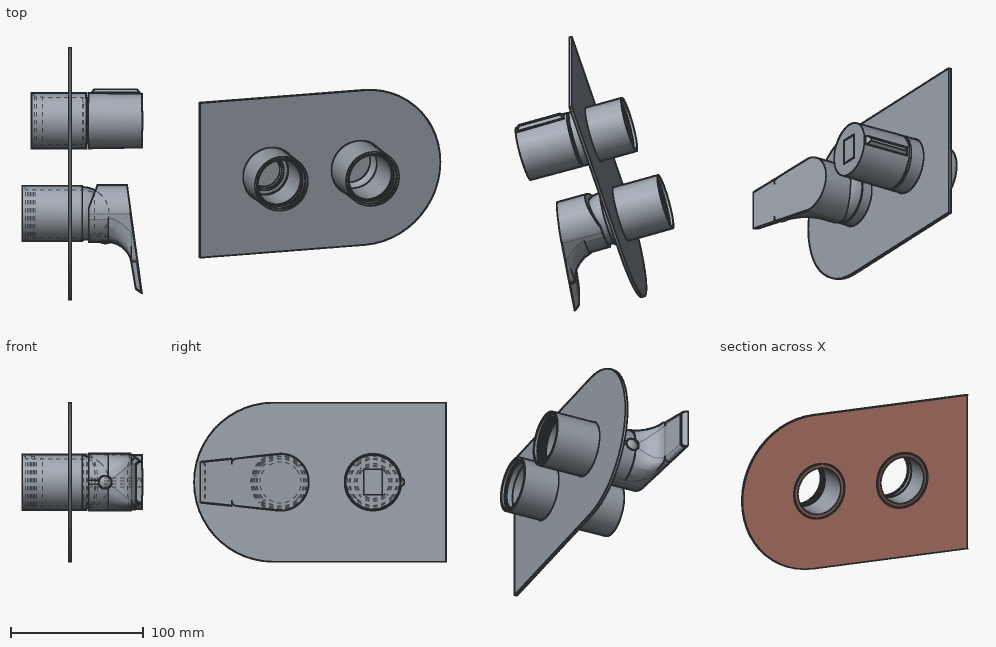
import cadquery as cq
import math


PLATE_LENGTH = 190
PLATE_WIDTH = 120.0
PLATE_THICKNESS = 2.0
LEVER_TO_ROUND_END = 65.0
KNOB_AXIS_Y = 70.0

SLEEVE_DIAMETER = 42.0
PLATE_HOLE_DIAMETER = 42.5
LEVER_SLEEVE_START = -35.0
LEVER_SLEEVE_END = 10.3
KNOB_SLEEVE_START = -28.1
KNOB_SLEEVE_END = 13.1
ENTRY_DIAMETER = 39.0
ENTRY_DEPTH = 2.3
GROOVE_DIAMETER = 36.5
KNOB_GROOVE_WIDTH = 4.8
GROOVE_COUNT = 3
GROOVE_WIDTH = 1.1
FIRST_GROOVE_OFFSET = 3.6
BORE_DIAMETER = 35.7
KNOB_LIP_DIAMETER = 34.5

DOME_DIAMETER = 40.0
DOME_FLOOR_DIAMETER = 31.0

LEVER_RADIUS = 21.7
LEVER_BACK = 15.0
LEVER_SLANT_START_Y = 3.6
LEVER_REACH = 22.8
LEVER_SLANT_TOP_X = 22.2
FACE_TOP_X = 43.9
TIP_X = 55.3
TIP_Y = -60.0
TIP_HALF_WIDTH = 15.5
BLADE_TOP_Y = -36.5
BLADE_TOP_X = 47.1
BLADE_END_X = 50.5
BLADE_END_Y = -57
BLADE_ROUND = 3.5
TIP_CHAMFER = 0.5
FACE_CHAMFER = 0.5
NECK_SECTIONS = [
    (30.0, 3.5, LEVER_RADIUS, 1.1),
    (37.6, 6.0, 23.5, 6.6),
    (42.4, 9.7, 27.0, 10.5),
    (45.2, 12.2, 30.8, 12.5),
    (BLADE_TOP_X, 14.6, -BLADE_TOP_Y, 13.9),
]
NOTCH_WIDTH = 2.8
NOTCH_DEPTH = 0.5

PLUG_X = 27.5
PLUG_DIAMETER = 9.5
PLUG_RIM_DIAMETER = 10.0
PLUG_SEAT_Y = -17.1
PLUG_SHOULDER_Y = -20.9
PLUG_DOME_HEIGHT = 1.7

KNOB_START = 14.8
KNOB_END = 55.3
KNOB_BACK_DIAMETER = 42.0
KNOB_FRONT_DIAMETER = 41.0
GRIP_WIDTH = 6.8
GRIP_HEIGHT = 23.8
GRIP_BASE_RADIUS = 20.0
GRIP_START = 19.4
GRIP_END = 51.5
GRIP_RAMP = 3.2
GRIP_CHAMFER = 2.3
STEM_START = 10.3
STEM_FLANGE_END = 13.9
STEM_NECK_DIAMETER = 28.0
STEM_RECESS_DIAMETER = 28.7
STEM_RECESS_DEPTH = 0.5
STEM_BORE_MOUTH = 25.6
STEM_BORE_DIAMETER = 24.0
STEM_BORE_DEPTH = 2.3
BADGE_LENGTH_Y = 13.7
BADGE_LENGTH_Z = 19.2
BADGE_THICKNESS = 0.5


def rod(diameter, start, end, axis_y=0):
    """Round bar along X from start to end."""
    return cq.Workplane("YZ", origin=(start, axis_y, 0)).circle(diameter / 2).extrude(end - start)


def cone(start_diameter, end_diameter, start, end, axis_y):
    """Tapered round bar along X."""
    return cq.Workplane("XY").add(
        cq.Solid.makeCone(
            start_diameter / 2, end_diameter / 2, end - start,
            cq.Vector(start, axis_y, 0), cq.Vector(1, 0, 0),
        )
    )


def make_plate():
    round_end_y = -LEVER_TO_ROUND_END
    flat_end_y = round_end_y + PLATE_LENGTH
    half_width = PLATE_WIDTH / 2
    arc_start_y = round_end_y + half_width
    plate = (
        cq.Workplane("YZ")
        .moveTo(flat_end_y, half_width)
        .lineTo(arc_start_y, half_width)
        .threePointArc((round_end_y, 0), (arc_start_y, -half_width))
        .lineTo(flat_end_y, -half_width)
        .close()
        .extrude(PLATE_THICKNESS)
    )
    for axis_y in (0, KNOB_AXIS_Y):
        plate = plate.cut(rod(PLATE_HOLE_DIAMETER, 0, PLATE_THICKNESS, axis_y))
    return plate


def make_sleeve(start, end, axis_y):
    """Tube with a wider entry at its back end."""
    sleeve = rod(SLEEVE_DIAMETER, start, end, axis_y)
    sleeve = sleeve.cut(rod(BORE_DIAMETER, start, end, axis_y))
    return sleeve.cut(rod(ENTRY_DIAMETER, start, start + ENTRY_DEPTH, axis_y))


def make_lever_sleeve():
    """Sleeve with a row of narrow ring grooves behind its entry."""
    sleeve = make_sleeve(LEVER_SLEEVE_START, LEVER_SLEEVE_END, 0)
    for index in range(GROOVE_COUNT):
        groove_start = LEVER_SLEEVE_START + FIRST_GROOVE_OFFSET + 2 * index * GROOVE_WIDTH
        sleeve = sleeve.cut(rod(GROOVE_DIAMETER, groove_start, groove_start + GROOVE_WIDTH))
    return sleeve


def make_knob_sleeve():
    """Sleeve with a wide ring groove behind its entry and a narrower lip that holds the stem flange."""
    sleeve = make_sleeve(KNOB_SLEEVE_START, KNOB_SLEEVE_END, KNOB_AXIS_Y)
    groove_start = KNOB_SLEEVE_START + FIRST_GROOVE_OFFSET
    groove_end = groove_start + KNOB_GROOVE_WIDTH
    sleeve = sleeve.cut(rod(GROOVE_DIAMETER, groove_start, groove_end, KNOB_AXIS_Y))
    lip = rod(SLEEVE_DIAMETER, STEM_START, KNOB_SLEEVE_END, KNOB_AXIS_Y)
    return sleeve.union(lip).cut(rod(KNOB_LIP_DIAMETER, STEM_START, KNOB_SLEEVE_END, KNOB_AXIS_Y))


def make_dome_blank():
    """Solid half ball on the front end of the lever sleeve."""
    radius = DOME_DIAMETER / 2
    slant = radius * math.sqrt(0.5)
    return (
        cq.Workplane("XY", origin=(LEVER_SLEEVE_END, 0, 0))
        .lineTo(radius, 0)
        .threePointArc((slant, slant), (0, radius))
        .close()
        .revolve(360, (0, 0), (1, 0))
    )


def make_dome():
    """Hollow half ball whose round cavity ends in a flat floor."""
    radius = BORE_DIAMETER / 2
    floor_radius = DOME_FLOOR_DIAMETER / 2
    floor_angle = math.asin(floor_radius / radius)
    middle_angle = (floor_angle + math.pi / 2) / 2
    cavity = (
        cq.Workplane("XY", origin=(LEVER_SLEEVE_END, 0, 0))
        .lineTo(0, radius)
        .threePointArc(
            (radius * math.cos(middle_angle), radius * math.sin(middle_angle)),
            (radius * math.cos(floor_angle), floor_radius),
        )
        .lineTo(radius * math.cos(floor_angle), 0)
        .close()
        .revolve(360, (0, 0), (1, 0))
    )
    return make_dome_blank().cut(cavity)


def flank_half_width(depth):
    """Half width of the lever at a depth below its axis; it tapers evenly to the tip."""
    return LEVER_RADIUS + (TIP_HALF_WIDTH - LEVER_RADIUS) * depth / -TIP_Y


def neck_wire(x, flank_depth, saddle_depth, flat_half_width):
    """Lower neck section: straight flanks, curved corners and a flat saddle."""
    flank = flank_half_width(flank_depth)
    half_way = math.sqrt(0.5)
    corner_y = -flank_depth - (saddle_depth - flank_depth) * half_way
    corner_z = flat_half_width + (flank - flat_half_width) * half_way
    along_flank = cq.Vector(TIP_Y, TIP_HALF_WIDTH - LEVER_RADIUS, 0).normalized()
    back_along_flank = cq.Vector(-along_flank.x, along_flank.y, 0)
    inward = cq.Vector(0, -1, 0)
    return (
        cq.Workplane("YZ", origin=(x, 0, 0))
        .moveTo(0, -LEVER_RADIUS)
        .lineTo(0, LEVER_RADIUS)
        .lineTo(-flank_depth, flank)
        .spline(
            [(corner_y, corner_z), (-saddle_depth, flat_half_width)],
            tangents=[along_flank, inward],
            includeCurrent=True,
        )
        .lineTo(-saddle_depth, -flat_half_width)
        .spline(
            [(corner_y, -corner_z), (-flank_depth, -flank)],
            tangents=[inward, back_along_flank],
            includeCurrent=True,
        )
        .close()
    )


def make_neck():
    """Lower half of the lever ahead of the barrel, blending into the flat blade."""
    wires = [neck_wire(*section).wire().val() for section in NECK_SECTIONS]
    neck = cq.Workplane("XY").add(cq.Solid.makeLoft(wires))
    return neck.union(neck_wire(*NECK_SECTIONS[-1]).extrude(TIP_X - BLADE_TOP_X))


def make_barrel():
    """Round barrel around the dome; ahead of the neck start only its +Y half goes on."""
    neck_start = NECK_SECTIONS[0][0]
    barrel = rod(2 * LEVER_RADIUS, LEVER_BACK, TIP_X)
    lower_front = cq.Workplane("XY").box(
        TIP_X - neck_start, LEVER_RADIUS, 2 * LEVER_RADIUS, centered=(False, False, True)
    ).translate((neck_start, -LEVER_RADIUS, 0))
    return barrel.cut(lower_front)


def make_blade():
    """Tapering flat blade with rounded rear edges."""
    profile = (
        cq.Workplane("XY")
        .polyline([
            (BLADE_TOP_X, BLADE_TOP_Y),
            (TIP_X, BLADE_TOP_Y),
            (TIP_X, TIP_Y),
            (BLADE_END_X, BLADE_END_Y),
        ])
        .close()
        .extrude(LEVER_RADIUS, both=True)
    )
    blade = profile.intersect(make_lever_outline())
    rear_x = (BLADE_TOP_X + BLADE_END_X) / 2
    rear_y = (BLADE_TOP_Y + BLADE_END_Y) / 2
    half_width = flank_half_width(-rear_y)
    for side in (1, -1):
        nearest = cq.NearestToPointSelector((rear_x, rear_y, side * half_width))
        blade = blade.edges(nearest).fillet(BLADE_ROUND)
    tip_edge = cq.NearestToPointSelector((BLADE_END_X, BLADE_END_Y, 0))
    return blade.edges(tip_edge).chamfer(TIP_CHAMFER)


def make_lever_outline():
    """Outline along the valve axis: round at +Y, with straight sides that taper to the tip."""
    return (
        cq.Workplane("YZ")
        .moveTo(0, -LEVER_RADIUS)
        .threePointArc((LEVER_RADIUS, 0), (0, LEVER_RADIUS))
        .lineTo(TIP_Y, TIP_HALF_WIDTH)
        .lineTo(TIP_Y, -TIP_HALF_WIDTH)
        .close()
        .extrude(TIP_X)
    )


def make_lever_envelope():
    """Outer limits of the lever: slanted upper back and a sloping front face with a fine chamfer."""
    side = (
        cq.Workplane("XY")
        .polyline([
            (LEVER_BACK, TIP_Y),
            (LEVER_BACK, LEVER_SLANT_START_Y),
            (LEVER_SLANT_TOP_X, LEVER_REACH),
            (FACE_TOP_X, LEVER_REACH),
            (TIP_X, TIP_Y),
        ])
        .close()
        .extrude(LEVER_REACH, both=True)
    )
    envelope = side.intersect(make_lever_outline())
    front_face_middle = ((FACE_TOP_X + TIP_X) / 2, (LEVER_REACH + TIP_Y) / 2, 0)
    front_face = envelope.faces(cq.NearestToPointSelector(front_face_middle))
    return front_face.edges("%LINE").edges("not <Y").chamfer(FACE_CHAMFER)


def make_plug():
    """Round plug with a domed head."""
    plug_radius = PLUG_DIAMETER / 2
    crown_y = PLUG_SHOULDER_Y - PLUG_DOME_HEIGHT
    dome_radius = (plug_radius**2 + PLUG_DOME_HEIGHT**2) / (2 * PLUG_DOME_HEIGHT)
    shank = (
        cq.Workplane("XZ", origin=(PLUG_X, PLUG_SEAT_Y, 0))
        .circle(plug_radius)
        .extrude(PLUG_SEAT_Y - crown_y)
    )
    ball = cq.Workplane("XY").sphere(dome_radius).translate((PLUG_X, crown_y + dome_radius, 0))
    return shank.intersect(ball)


def cut_plug_hole(lever):
    """Hole for the plug, with a wider rim and a shallow notch that runs to the back."""
    rim_y = -math.sqrt(LEVER_RADIUS**2 - (PLUG_RIM_DIAMETER / 2) ** 2)
    hole = (
        cq.Workplane("XZ", origin=(PLUG_X, PLUG_SEAT_Y, 0))
        .circle(PLUG_DIAMETER / 2)
        .extrude(LEVER_RADIUS)
    )
    rim = (
        cq.Workplane("XZ", origin=(PLUG_X, rim_y, 0))
        .circle(PLUG_RIM_DIAMETER / 2)
        .extrude(LEVER_RADIUS)
    )
    notch = cq.Workplane("XY").box(
        PLUG_X - LEVER_BACK, 2 * NOTCH_DEPTH, NOTCH_WIDTH, centered=(False, True, True)
    ).translate((LEVER_BACK, -LEVER_RADIUS, 0))
    return lever.cut(hole).cut(rim).cut(notch)


def make_lever():
    lever = make_barrel().union(make_neck()).union(make_blade()).intersect(make_lever_envelope())
    return cut_plug_hole(lever).cut(make_dome_blank())


def make_knob():
    """Slightly tapered knob with a grip bar along its +Y side."""
    knob = cone(KNOB_BACK_DIAMETER, KNOB_FRONT_DIAMETER, KNOB_START, KNOB_END, KNOB_AXIS_Y)
    grip = (
        cq.Workplane("XY", origin=(0, KNOB_AXIS_Y, 0))
        .polyline([
            (GRIP_START, 0),
            (GRIP_START - GRIP_RAMP, GRIP_BASE_RADIUS),
            (GRIP_START, GRIP_HEIGHT),
            (GRIP_END, GRIP_HEIGHT),
            (GRIP_END + GRIP_RAMP, GRIP_BASE_RADIUS),
            (GRIP_END, 0),
        ])
        .close()
        .extrude(GRIP_WIDTH / 2, both=True)
    )
    grip = grip.faces(">Y").edges("|X").chamfer(GRIP_CHAMFER)
    return knob.union(grip)


def make_stem():
    """Flanged stem that closes the knob sleeve and carries the knob."""
    stem = rod(KNOB_LIP_DIAMETER, STEM_START, STEM_FLANGE_END, KNOB_AXIS_Y)
    stem = stem.union(rod(STEM_NECK_DIAMETER, STEM_START, KNOB_START, KNOB_AXIS_Y))
    recess_floor = STEM_START + STEM_RECESS_DEPTH
    bore_floor = recess_floor + STEM_BORE_DEPTH
    stem = stem.cut(rod(STEM_RECESS_DIAMETER, STEM_START, recess_floor, KNOB_AXIS_Y))
    return stem.cut(cone(STEM_BORE_MOUTH, STEM_BORE_DIAMETER, recess_floor, bore_floor, KNOB_AXIS_Y))


def make_badge():
    """Thin rectangular badge on the front face of the knob."""
    return (
        cq.Workplane("YZ", origin=(KNOB_END, KNOB_AXIS_Y, 0))
        .rect(BADGE_LENGTH_Y, BADGE_LENGTH_Z)
        .extrude(BADGE_THICKNESS)
    )


plate = make_plate()
lever_sleeve = make_lever_sleeve()
knob_sleeve = make_knob_sleeve()
dome = make_dome()
lever = make_lever()
plug = make_plug()
knob = make_knob()
stem = make_stem()
badge = make_badge()

result = cq.Compound.makeCompound([
    plate.val(),
    lever_sleeve.val(),
    knob_sleeve.val(),
    dome.val(),
    lever.val(),
    plug.val(),
    knob.val(),
    stem.val(),
    badge.val(),
])